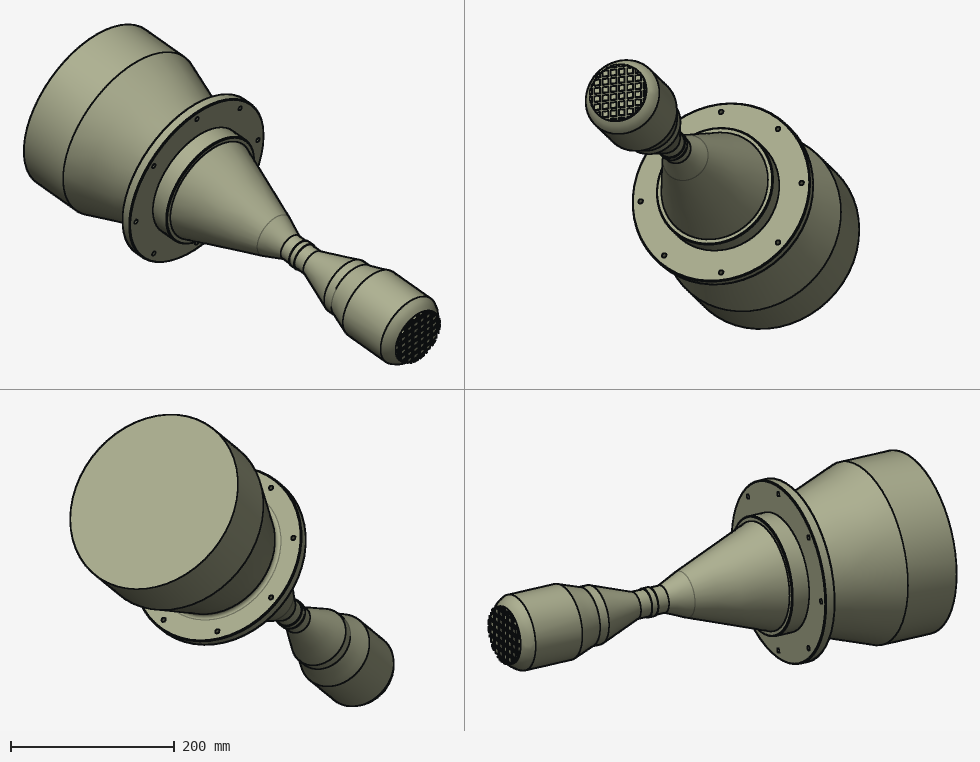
import cadquery as cq
import math

length = 575.0
drum_end = 69.0
large_cone_end = 167.0
flange_start = 172.0
flange_end = 186.0
collar_end = 210.0
cone_knee = 321.0
waist_start = 350.5
ring_start = 366.0
ring_end = 374.5
waist_end = 390.0
band_start = 447.0
band_end = 459.5
barrel_start = 490.5
cap_start = 557.0
cap_face = 571.0

drum_radius = 115.0
large_cone_small_radius = 81.5
flange_radius = drum_radius
collar_radius = 75.5
cone_radius = 69.0
knee_radius = 29.5
waist_radius = 17.0
ring_radius = 18.5
band_radius = 37.5
barrel_radius = 48.0

cap_bulge = 2.0

flange_chamfer = 1.0
collar_chamfer = 1.0
bolt_circle_radius = 104.0
bolt_hole_diameter = 6.0
bolt_count = 8

disc_radius = 36.0
outer_groove_offset = 31.5
groove_width = 3.5
groove_depth = 2.5
grooves_per_side = 3
groove_pitch = outer_groove_offset / grooves_per_side

x_center = length / 2


def make_body():
    """Revolve the stepped, tapered profile about the X axis."""
    cap_run = cap_face - cap_start
    cap_drop = barrel_radius - disc_radius
    cap_chord = math.hypot(cap_run, cap_drop)
    cap_middle = (
        (cap_start + cap_face) / 2 + cap_bulge * cap_drop / cap_chord,
        (barrel_radius + disc_radius) / 2 + cap_bulge * cap_run / cap_chord,
    )
    neck_blend = flange_start - large_cone_end
    blend_offset = neck_blend * math.sin(math.pi / 4)
    blend_middle = (
        large_cone_end + blend_offset,
        large_cone_small_radius + neck_blend - blend_offset,
    )
    profile = (
        cq.Workplane("XY")
        .polyline([
            (0, 0),
            (0, drum_radius),
            (drum_end, drum_radius),
            (large_cone_end, large_cone_small_radius),
        ])
        .threePointArc(blend_middle, (flange_start, large_cone_small_radius + neck_blend))
        .polyline([
            (flange_start, flange_radius - flange_chamfer),
            (flange_start + flange_chamfer, flange_radius),
            (flange_end - flange_chamfer, flange_radius),
            (flange_end, flange_radius - flange_chamfer),
            (flange_end, collar_radius),
            (collar_end - collar_chamfer, collar_radius),
            (collar_end, collar_radius - collar_chamfer),
            (collar_end, cone_radius),
            (cone_knee, knee_radius),
            (waist_start, waist_radius),
            (ring_start, waist_radius),
            (ring_start, ring_radius),
            (ring_end, ring_radius),
            (ring_end, waist_radius),
            (waist_end, waist_radius),
            (band_start, band_radius),
            (band_end, band_radius),
            (barrel_start, barrel_radius),
            (cap_start, barrel_radius),
        ], includeCurrent=True)
        .threePointArc(cap_middle, (cap_face, disc_radius))
        .lineTo(cap_face, 0)
        .close()
    )
    return profile.revolve(360, (0, 0, 0), (1, 0, 0))


def make_contact_disc():
    """Disc on the cap, with crossing grooves that split its face into square pads."""
    disc = cq.Workplane("YZ").workplane(offset=cap_face).circle(disc_radius).extrude(length - cap_face)
    groove_length = 2 * disc_radius
    groove_x = length - groove_depth / 2
    for index in range(-grooves_per_side, grooves_per_side + 1):
        position = index * groove_pitch
        along_z = cq.Workplane("XY").box(groove_depth, groove_width, groove_length)
        along_y = cq.Workplane("XY").box(groove_depth, groove_length, groove_width)
        disc = disc.cut(along_z.translate((groove_x, position, 0)))
        disc = disc.cut(along_y.translate((groove_x, 0, position)))
    return disc


def make_bolt_holes():
    """Ring of holes through the flange, the first one on the Y axis."""
    return (
        cq.Workplane("YZ")
        .workplane(offset=flange_start)
        .polarArray(bolt_circle_radius, 0, 360, bolt_count)
        .circle(bolt_hole_diameter / 2)
        .extrude(flange_end - flange_start)
    )


part = make_body().cut(make_bolt_holes()).union(make_contact_disc())
result = part.translate((-x_center, 0, 0))